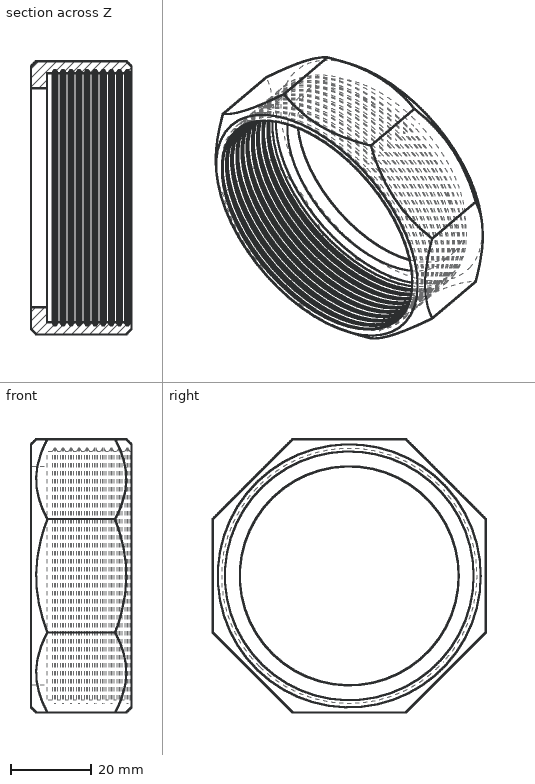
import cadquery as cq
import math

across_flats = 68.0
width = 25.0
face_radius = 32.7
bore_radius = 27.2
flange_thickness = 4.0

crest_radius = 30.95
root_radius = 31.75
thread_turns = 10.5
end_land = 0.4
crest_flat = 0.75
root_flat = 0.3

side_count = 8
corner_radius = across_flats / 2 / math.cos(math.pi / side_count)
chamfer = corner_radius - face_radius
half_width = width / 2
pitch = (width - flange_thickness) / thread_turns
groove_count = math.floor(thread_turns)
flank_run = (pitch - crest_flat - root_flat) / 2


def revolve_about_x(points):
    """Revolve a closed (x, radius) outline around the X axis."""
    return cq.Workplane("XY").polyline(points).close().revolve(360, (0, 0, 0), (1, 0, 0))


def octagon_body():
    """Octagonal prism with flats facing Y and Z."""
    return (
        cq.Workplane("YZ")
        .polygon(side_count, 2 * corner_radius)
        .extrude(half_width, both=True)
        .rotate((0, 0, 0), (1, 0, 0), 180 / side_count)
    )


def chamfered_ring():
    """Round envelope that bevels the corners and leaves the bore open."""
    return revolve_about_x([
        (-half_width, bore_radius),
        (-half_width, face_radius),
        (-half_width + chamfer, corner_radius),
        (half_width - chamfer, corner_radius),
        (half_width, face_radius),
        (half_width, bore_radius),
    ])


def thread_cutter():
    """Stepped bore behind the flange, with its trapezoidal thread grooves."""
    start = -half_width + flange_thickness
    first_groove = half_width - end_land + crest_flat - groove_count * pitch
    points = [(start, 0), (start, crest_radius)]
    for index in range(groove_count):
        groove_start = first_groove + index * pitch
        root_start = groove_start + flank_run
        root_end = root_start + root_flat
        points.append((groove_start, crest_radius))
        points.append((root_start, root_radius))
        points.append((root_end, root_radius))
        points.append((root_end + flank_run, crest_radius))
    points.append((half_width, crest_radius))
    points.append((half_width, 0))
    return revolve_about_x(points)


result = octagon_body().intersect(chamfered_ring()).cut(thread_cutter())